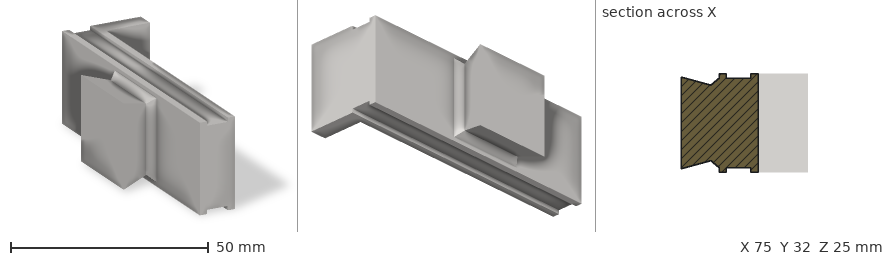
import cadquery as cq

plate_length = 75.0
plate_thickness = 10.0
plate_height = 25.0

lip_thickness = 2.0
groove_depth = 1.15
groove_width = plate_thickness - 2 * lip_thickness

arm_thickness = 5.0
arm_length = 12.5

foot_width = 22.6
neck_width = 19.2
knob_width = 23.3
foot_depth = 2.0
head_depth = 7.5

knob_x = (arm_thickness + plate_length) / 2
mid_z = plate_height / 2


def make_plate():
    plate = cq.Workplane("XY").box(plate_length, plate_thickness, plate_height, centered=False)
    groove = cq.Workplane("XY").box(plate_length, groove_width, groove_depth, centered=False)
    for groove_floor in (0, plate_height - groove_depth):
        plate = plate.cut(groove.translate((0, lip_thickness, groove_floor)))
    return plate


def make_arm():
    arm = cq.Workplane("XY").box(arm_thickness, arm_length, plate_height, centered=False)
    return arm.translate((0, plate_thickness, 0))


def tapered_block(start_depth, start_width, end_width, depth):
    """Square frustum growing forward (-Y) from start_depth in front of the plate."""
    return (
        cq.Workplane("XZ", origin=(knob_x, -start_depth, mid_z))
        .rect(start_width, start_width)
        .workplane(offset=depth)
        .rect(end_width, end_width)
        .loft(ruled=True)
    )


def make_knob():
    foot = tapered_block(0, foot_width, neck_width, foot_depth)
    head = tapered_block(foot_depth, neck_width, knob_width, head_depth)
    return foot.union(head)


result = make_plate().union(make_arm()).union(make_knob())